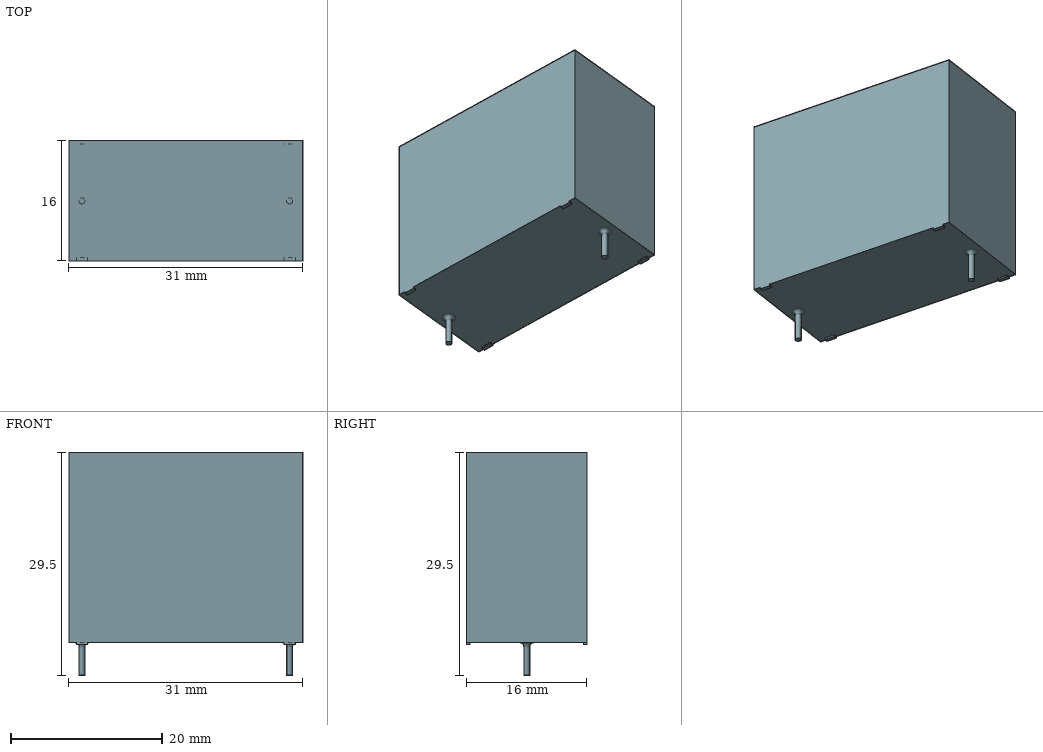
import cadquery as cq

case_length = 31.0
case_width = 16.0
overall_height = 29.5

pin_diameter = 0.8
pin_pitch = 27.5
pin_length = 4.3
root_fillet = 0.5

foot_length = 1.52
foot_width = 0.5
foot_height = 0.25

case_height = overall_height - pin_length
pin_offset = pin_pitch / 2
foot_offset = (case_width - foot_width) / 2


def make_case():
    """Plain rectangular case with its underside on Z = 0."""
    return cq.Workplane("XY").box(case_length, case_width, case_height, centered=(True, True, False))


def make_pin(x):
    """Round pin hanging below the case, flaring out in a quarter arc at its root."""
    pin_radius = pin_diameter / 2
    root_radius = pin_radius + root_fillet
    profile = (
        cq.Workplane("XZ")
        .lineTo(root_radius, 0)
        .radiusArc((pin_radius, -root_fillet), -root_fillet)
        .lineTo(pin_radius, -pin_length)
        .lineTo(0, -pin_length)
        .close()
    )
    return profile.revolve(360, (0, 0, 0), (0, 1, 0)).translate((x, 0, 0))


def make_foot(x, y):
    """Small rectangular standoff below the case."""
    foot = cq.Workplane("XY").box(foot_length, foot_width, foot_height, centered=(True, True, False))
    return foot.translate((x, y, -foot_height))


result = make_case()
for pin_x in (-pin_offset, pin_offset):
    result = result.union(make_pin(pin_x))
    for foot_y in (-foot_offset, foot_offset):
        result = result.union(make_foot(pin_x, foot_y))